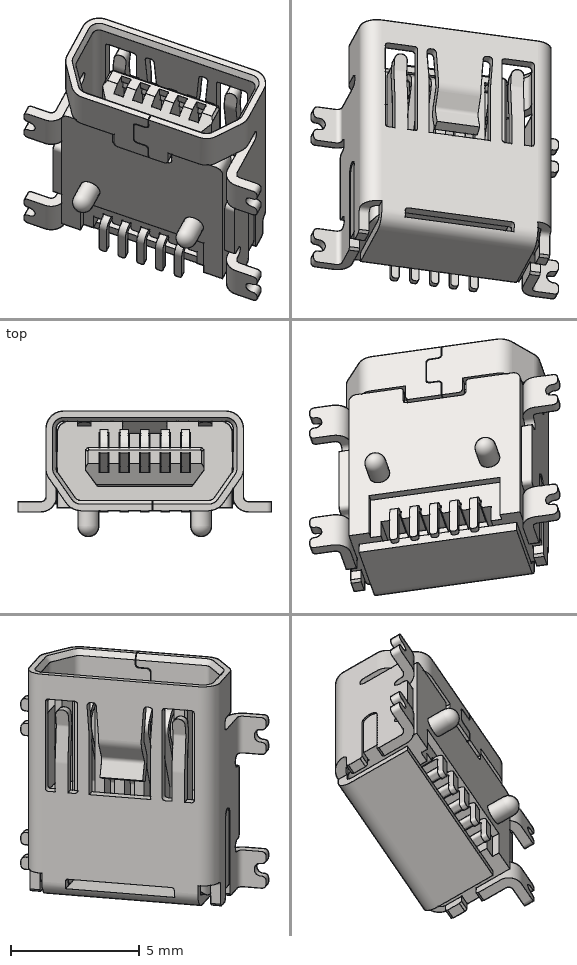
import cadquery as cq
import math


total_width = 9.9
total_height = 9.32
sheet = 0.41
shell_half_width = 3.85
shell_back = 3.94
shell_front = 0.05
shell_bottom = 0.15
side_corner_y = 1.485
front_corner_x = 2.85
corner_radius = 0.69
inner_half_width = shell_half_width - sheet
inner_back = shell_back - sheet
corner_inner_radius = corner_radius - sheet
bend_radius = 0.2
mouth_chamfer = 0.15
mouth_chamfer_depth = 0.24

slit_width = 0.495
mouth_bottom = 7.61
wall_top = mouth_bottom - slit_width
slit_end_y = 2.5

tab_half_width = 1.14
tab_bottom = 6.92
tab_corner = 0.15
seam_gap = 0.03
seam_x = 0.31
seam_top = 8.77
seam_corner = 0.14

foot_height = 1.5
foot_notch_width = 0.5
foot_notch_depth = 0.48
foot_corner = 0.18
foot_bottoms = (shell_bottom, wall_top - foot_height)
relief_end_y = 0.91
wall_front = 0.31
wall_corner = 0.2
foot_bend_y = sheet + bend_radius

slot_front = 1.72
slot_back = 2.4
slot_top = 3.84
wall_rear = 3.13
corner_notch_top = 1.19
notch_corner = 0.2
wall_chamfer = 0.1
flap_half_width = 3.15
flap_bottom = 0.22
flap_front = 0.76
flap_bend_radius = 0.22
rear_window_half_width = 2.2
rear_window_top = 1.03
rear_window_corner = 0.12

spring_slit_top = 8.32
spring_window_bottom = 4.55
latch_half_width = 0.86
latch_top_half_width = 0.96
latch_slit_width = 0.38
latch_slit_corner = 0.16
latch_bend_z = 6.93
latch_reach_y = 3.01
latch_reach_z = 5.94
latch_tip_z = 5.15
finger_x = 2.36
finger_width = 0.51
finger_window_width = 1.31
finger_window_corner = 0.13
finger_reach_y = 3.35
finger_reach_z = 7.23
finger_top = 7.92
finger_top_y = 3.6
finger_bend_z = 5.74
finger_tip_corner = 0.25

housing_half_width = 3.42
housing_front = 0.16
housing_bottom = flap_bottom + sheet
floor_z = 3.96
housing_rear_corner = 0.46
housing_bottom_corner = 0.35
housing_top_corner = 0.3
front_wall_back = shell_front + sheet
shoulder_y = 0.99
notch_half_width = 1.26
notch_bottom = 6.85
notch_inner_corner = 0.2
notch_outer_corner = 0.12
rib_clearance = 0.04
peg_x = 2.2
peg_z = 3.47
peg_radius = 0.411
peg_tip = -0.96

tongue_half_width = 2.32
tongue_back = 2.51
tongue_front = 0.99
tongue_side_corner_y = 1.64
tongue_front_half_width = 1.83
tongue_top = 8.34
tongue_slope_y = 1.89
tongue_nose_y = 1.08
tongue_nose_z = 7.87
tongue_face_top = 7.67
tongue_chamfer = 0.1

pin_count = 5
pin_pitch = 0.797
pin_width = 0.32
pin_thickness = 0.24
pin_bend_radius = 0.14
pin_tip_corner = 0.12
pin_shelf_top = 1.72
pin_upright_y = 1.65
pin_upright_top = 4.455
pin_peak_y = 3.17
pin_peak_z = 7.23
pin_hook_y = 2.67
pin_hook_z = 7.66
pin_tip_y = 2.34
pin_tip_z = 7.76
pin_slot_width = 0.4
pin_slot_corner = 0.12
pocket_front = 1.53
pocket_back = 2.31
pocket_rim_bottom = 7.97
floor_slot_back = 3.1
floor_slot_depth = 0.59
recess_half_width = 2.61
recess_top = 2.48
recess_depth = 0.3
opening_half_width = 2.2
opening_top = 1.35


def box(x0, x1, y0, y1, z0, z1):
    return cq.Workplane("XY").box(x1 - x0, y1 - y0, z1 - z0, centered=False).translate((x0, y0, z0))


def both_sides(body):
    """The body together with its mirror image across X = 0."""
    return body.union(body.mirror("YZ"))


def rounded_path(plane, points, radius):
    """An open path through the points, with each inner corner replaced by a tangent arc."""
    path = cq.Workplane(plane).moveTo(*points[0])
    for before, corner, after in zip(points, points[1:], points[2:]):
        corner = cq.Vector(*corner)
        back = (cq.Vector(*before) - corner).normalized()
        ahead = (cq.Vector(*after) - corner).normalized()
        half_angle = back.getAngle(ahead) / 2
        tangent = radius / math.tan(half_angle)
        start = corner + back * tangent
        end = corner + ahead * tangent
        to_centre = (back + ahead).normalized()
        middle = corner + to_centre * (radius / math.sin(half_angle) - radius)
        path = path.lineTo(start.x, start.y)
        path = path.threePointArc((middle.x, middle.y), (end.x, end.y))
    return path.lineTo(*points[-1])


def strip(plane, points, bend_radius, thickness, width):
    """A strip bent along a path with the given inner bend radius; its width is centred on the plane."""
    path = rounded_path(plane, points, bend_radius + thickness / 2)
    wire_plane = cq.Plane.named(plane)
    start = wire_plane.toWorldCoords(points[0])
    direction = wire_plane.toWorldCoords(points[1]) - start
    section = cq.Plane(origin=start, xDir=wire_plane.zDir, normal=direction)
    return cq.Workplane(section).rect(width, thickness).sweep(path)



def mouth_prism(inset, fillet_radius):
    """A solid with the mouth's outline, moved inward by the inset."""
    outline = [
        (-shell_half_width, shell_back),
        (-shell_half_width, side_corner_y),
        (-front_corner_x, shell_front),
        (front_corner_x, shell_front),
        (shell_half_width, side_corner_y),
        (shell_half_width, shell_back),
    ]
    profile = cq.Workplane("XY").workplane(offset=tab_bottom).polyline(outline).close()
    if inset > 0:
        profile = profile.offset2D(-inset)
    return profile.extrude(total_height - tab_bottom).edges("|Z").fillet(fillet_radius)


def mouth_tube():
    """The closed sleeve around the mouth, reaching down to the end of the front tab."""
    tube = mouth_prism(0, corner_radius).cut(mouth_prism(sheet, corner_inner_radius))
    rim = tube.faces(">Z").val().innerWires()[0]
    tube = tube.newObject(rim.Edges()).chamfer(mouth_chamfer, mouth_chamfer_depth)
    below_mouth = box(-total_width, total_width, -total_width, slit_end_y, 0, mouth_bottom)
    tab = (
        box(-tab_half_width, tab_half_width, shell_front, front_wall_back, tab_bottom, total_height)
        .edges("|Y and <Z")
        .fillet(tab_corner)
    )
    return tube.cut(below_mouth.cut(tab))


def side_slit(z, end_y):
    """A cutter through both side walls, from the front to a round end."""
    return (
        cq.Workplane("YZ", origin=(0, end_y - total_width / 2, z + slit_width / 2))
        .slot2D(total_width, slit_width)
        .extrude(total_width, both=True)
    )


def foot(bottom):
    """One foot of the left side: a strip from the side wall, bent outward onto the board."""
    path = [
        (-shell_half_width + sheet / 2, relief_end_y),
        (-shell_half_width + sheet / 2, sheet / 2),
        (-total_width / 2, sheet / 2),
    ]
    body = strip("XY", path, bend_radius, sheet, foot_height).translate((0, 0, foot_height / 2))
    notch_radius = foot_notch_width / 2
    notch_x = -total_width / 2 + foot_notch_depth - notch_radius
    notch = (
        cq.Workplane("XZ")
        .center(notch_x - total_width / 2, foot_height / 2)
        .slot2D(total_width + foot_notch_width, foot_notch_width)
        .extrude(-sheet)
    )
    body = body.cut(notch).edges("|Y and <X").fillet(foot_corner)
    return body.translate((0, 0, bottom))


def upright_slot(front, back, top):
    """A bar across the whole width with a round top, reaching below the part."""
    return (
        cq.Workplane("YZ", origin=(0, (front + back) / 2, top - total_height / 2))
        .slot2D(total_height, back - front, 90)
        .extrude(total_width, both=True)
    )


def rear_corner_notch():
    """Clears the rear corners so that the back wall can bend forward."""
    cutter = box(flap_half_width, total_width, wall_rear, total_width, -total_height, corner_notch_top)
    cutter = cutter.edges("|X and <Y and >Z").fillet(notch_corner)
    return both_sides(cutter)


def bottom_flap():
    """The back wall's lower end, bent forward under the housing."""
    middle_y = shell_back - sheet / 2
    middle_z = flap_bottom + sheet / 2
    path = [(middle_y, corner_notch_top), (middle_y, middle_z), (flap_front, middle_z)]
    return strip("YZ", path, flap_bend_radius, sheet, 2 * flap_half_width)


def rear_window():
    """The opening above the flap, behind the pins."""
    return (
        box(-rear_window_half_width, rear_window_half_width, wall_rear, total_width,
            housing_bottom, rear_window_top)
        .edges("|Y and >Z")
        .fillet(rear_window_corner)
    )


def spring_windows():
    """Cutters around the central latch and the two side fingers."""
    rear = inner_back - sheet
    window_edge = latch_half_width + latch_slit_width
    outline = [
        (latch_top_half_width, spring_slit_top),
        (latch_top_half_width + latch_slit_width, spring_slit_top),
        (window_edge, latch_bend_z),
        (window_edge, spring_window_bottom),
        (0, spring_window_bottom),
        (0, latch_bend_z),
        (latch_half_width, latch_bend_z),
    ]
    latch_window = (
        cq.Workplane("XZ", origin=(0, rear, 0))
        .polyline(outline)
        .close()
        .extrude(-total_width)
        .edges("|Y and >Z")
        .fillet(latch_slit_corner)
    )
    finger_window = (
        box(finger_x - finger_window_width / 2, finger_x + finger_window_width / 2, rear, total_width,
            spring_window_bottom, spring_slit_top)
        .edges("|Y")
        .fillet(finger_window_corner)
    )
    return both_sides(latch_window.union(finger_window))


def latch():
    """The central spring, hanging from the top of its window and leaning into the mouth."""
    middle_y = shell_back - sheet / 2
    path = [
        (middle_y, latch_bend_z + sheet),
        (middle_y, latch_bend_z - sheet / 2),
        (latch_reach_y + sheet / 2, latch_reach_z),
        (middle_y - sheet / 2, latch_tip_z),
    ]
    return strip("YZ", path, bend_radius, sheet, 2 * latch_half_width)


def finger():
    """A side spring standing on the lower edge of its window and bowed into the mouth, with a round tip."""
    root_z = spring_window_bottom - sheet
    path = [
        (shell_back - sheet / 2, root_z),
        (shell_back - sheet / 2, finger_bend_z),
        (finger_reach_y + sheet / 2, finger_reach_z),
        (finger_top_y + sheet / 2, finger_top + sheet),
    ]
    tip = (
        box(-finger_width / 2, finger_width / 2, 0, total_width, root_z, finger_top)
        .edges("|Y and >Z")
        .fillet(finger_tip_corner)
    )
    body = strip("YZ", path, bend_radius, sheet, finger_width).intersect(tip)
    return body.translate((finger_x, 0, 0))


def seam():
    """The thin interlocking gap where the two ends of the sheet meet."""
    path = [
        (seam_x, total_height + sheet),
        (seam_x, seam_top),
        (-seam_x, seam_top),
        (-seam_x, mouth_bottom),
        (seam_x, mouth_bottom),
        (seam_x, tab_bottom - sheet),
    ]
    return strip("XZ", path, seam_corner, seam_gap, 4 * sheet)


def lower_walls():
    """Back wall and straight side walls below the mouth, with their slits, slots and notches."""
    walls = (
        box(-shell_half_width, shell_half_width, wall_front, shell_back, shell_bottom, mouth_bottom)
        .edges("|Z and >Y")
        .fillet(corner_radius)
    )
    inside = (
        box(-inner_half_width, inner_half_width, 0, inner_back, 0, total_height)
        .edges("|Z and >Y")
        .fillet(corner_inner_radius)
    )
    walls = walls.cut(inside).cut(side_slit(wall_top, slit_end_y))
    for z in (foot_bottoms[0] + foot_height, foot_bottoms[1] - slit_width):
        walls = walls.cut(side_slit(z, relief_end_y))
    for bottom in foot_bottoms:
        walls = walls.cut(box(-total_width, total_width, 0, foot_bend_y, bottom, bottom + foot_height))
    walls = walls.edges("|X and <Y").fillet(wall_corner)
    below_back = box(-flap_half_width, flap_half_width, wall_rear, total_width, 0, corner_notch_top)
    walls = walls.cut(upright_slot(slot_front, slot_back, slot_top)).cut(rear_corner_notch()).cut(below_back)
    return walls.edges("|X and <Z").edges("not <Y").chamfer(wall_chamfer)


def make_shell():
    shell = lower_walls().union(mouth_tube())
    shell = shell.union(bottom_flap()).cut(rear_window())
    shell = shell.cut(spring_windows()).union(latch()).union(both_sides(finger()))
    for bottom in foot_bottoms:
        shell = shell.union(both_sides(foot(bottom)))
    return shell.cut(seam())



def make_pin(x):
    """One contact: a board leg, a shelf into the housing, an upright and a sprung tip bent around a peak."""
    leg_y = pin_thickness / 2
    shelf_z = pin_shelf_top - pin_thickness / 2
    path = [
        (leg_y, 0),
        (leg_y, shelf_z),
        (pin_upright_y, shelf_z),
        (pin_upright_y, pin_upright_top),
        (pin_peak_y, pin_peak_z),
        (pin_hook_y, pin_hook_z),
        (pin_tip_y, pin_tip_z),
    ]
    pin = strip("YZ", path, pin_bend_radius, pin_thickness, pin_width)
    pin = pin.edges("|Y and <Z").fillet(pin_tip_corner)
    return pin.translate((x, 0, 0))


pin_positions = [(i - (pin_count - 1) / 2) * pin_pitch for i in range(pin_count)]
pins = [make_pin(x) for x in pin_positions]



def housing_block():
    block = (
        box(-housing_half_width, housing_half_width, housing_front, inner_back, housing_bottom, floor_z)
        .edges("|Z and >Y")
        .fillet(housing_rear_corner)
    )
    above_flap = (
        box(-housing_half_width, housing_half_width, housing_front, inner_back, housing_bottom, floor_z)
        .edges("|X and >Y and <Z")
        .fillet(housing_bottom_corner)
    )
    return block.intersect(above_flap)


def front_wall():
    """The wall in front of the mouth cavity, with corners filled behind the shell's slanted faces."""
    slope = (shell_half_width - front_corner_x) / (side_corner_y - shell_front)
    shoulder_x = housing_half_width - housing_top_corner
    slant_x = shoulder_x - slope * (shoulder_y - front_wall_back)
    outline = [
        (-housing_half_width, housing_front),
        (housing_half_width, housing_front),
        (housing_half_width, shoulder_y),
        (shoulder_x, shoulder_y),
        (slant_x, front_wall_back),
        (-slant_x, front_wall_back),
        (-shoulder_x, shoulder_y),
        (-housing_half_width, shoulder_y),
    ]
    wall = cq.Workplane("XY").workplane(offset=floor_z).polyline(outline).close()
    wall = wall.extrude(mouth_bottom - floor_z)
    top_sides = (
        box(-housing_half_width, housing_half_width, 0, shoulder_y, 0, mouth_bottom)
        .edges("|Y and >Z")
        .fillet(housing_top_corner)
    )
    notch = (
        box(-notch_half_width, notch_half_width, 0, shoulder_y, notch_bottom, total_height)
        .edges("|Y and <Z")
        .fillet(notch_inner_corner)
    )
    wall = wall.intersect(top_sides).cut(notch)
    notch_mouth = cq.selectors.BoxSelector(
        (-tongue_half_width, 0, notch_bottom + notch_inner_corner),
        (tongue_half_width, total_width, total_height),
    )
    return wall.edges("|Y").edges(notch_mouth).fillet(notch_outer_corner)


def tongue():
    """The contact carrier standing in the mouth, with a sloping nose."""
    outline = [
        (-tongue_half_width, tongue_back),
        (-tongue_half_width, tongue_side_corner_y),
        (-tongue_front_half_width, tongue_front),
        (tongue_front_half_width, tongue_front),
        (tongue_half_width, tongue_side_corner_y),
        (tongue_half_width, tongue_back),
    ]
    body = cq.Workplane("XY").workplane(offset=floor_z).polyline(outline).close()
    body = body.extrude(tongue_top - floor_z)
    body = body.edges("|Z and >Y").chamfer(tongue_chamfer)
    above_nose = [
        (tongue_slope_y, tongue_top),
        (tongue_nose_y, tongue_nose_z),
        (tongue_front, tongue_face_top),
        (tongue_front, tongue_top),
    ]
    nose = cq.Workplane("YZ").polyline(above_nose).close().extrude(tongue_half_width, both=True)
    behind_nose = cq.selectors.BoxSelector(
        (-total_width, tongue_side_corner_y, tongue_top - tongue_chamfer),
        (total_width, total_width, tongue_top + tongue_chamfer),
    )
    body = body.faces(">Z").edges(behind_nose).chamfer(tongue_chamfer)
    return body.cut(nose)


def side_rib():
    """A rib that fills the slot of the shell's side wall."""
    side = box(
        -shell_half_width + rib_clearance, -housing_half_width, 0, total_width, housing_bottom, total_height
    )
    return side.intersect(upright_slot(slot_front, slot_back - rib_clearance, slot_top - rib_clearance))


def peg():
    """A round locating peg with a domed tip."""
    dome_y = peg_tip + peg_radius
    shank = cq.Workplane("XZ", origin=(-peg_x, housing_front, peg_z)).circle(peg_radius)
    shank = shank.extrude(housing_front - dome_y)
    dome = cq.Workplane("XY").sphere(peg_radius).translate((-peg_x, dome_y, peg_z))
    return shank.union(dome)


def pin_openings(x):
    """The slots around one pin: at its shelf, in the cavity floor and in the tongue."""
    x0 = x - pin_slot_width / 2
    x1 = x + pin_slot_width / 2
    shelf = box(x0, x1, 0, pin_upright_y + pin_thickness / 2, opening_top, pin_shelf_top)
    flare = (
        cq.Workplane("XZ")
        .moveTo(x0 - pin_slot_corner, opening_top)
        .radiusArc((x0, opening_top + pin_slot_corner), -pin_slot_corner)
        .lineTo(x1, opening_top + pin_slot_corner)
        .radiusArc((x1 + pin_slot_corner, opening_top), -pin_slot_corner)
        .close()
        .extrude(-pin_upright_y - pin_thickness / 2)
    )
    pocket = box(x0, x1, pocket_front, pocket_back, floor_z - floor_slot_depth, total_height)
    floor_slot = box(x0, x1, pocket_front, floor_slot_back, floor_z - floor_slot_depth, pocket_rim_bottom)
    return shelf.union(flare).union(pocket).union(floor_slot)


def make_housing():
    housing = housing_block().union(front_wall()).union(tongue())
    housing = housing.union(both_sides(side_rib())).union(both_sides(peg()))
    recess = box(-recess_half_width, recess_half_width, 0, housing_front + recess_depth, 0, recess_top)
    opening = box(-opening_half_width, opening_half_width, 0, total_width, 0, opening_top)
    housing = housing.cut(recess).cut(opening)
    for x, pin in zip(pin_positions, pins):
        housing = housing.cut(pin_openings(x)).cut(pin)
    return housing


shell = make_shell()
housing = make_housing()

result = cq.Compound.makeCompound([shell.val(), housing.val(), *[pin.val() for pin in pins]])